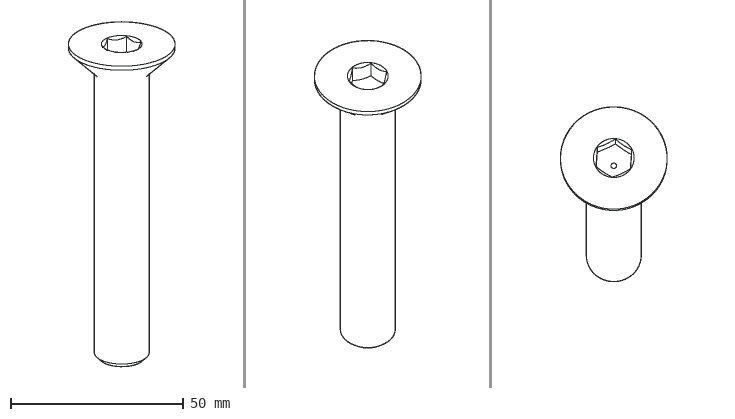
import cadquery as cq
import math

length = 100.0
head_radius = 31.0 / 2
shank_radius = 16.0 / 2

rim_height = 1.3
head_height = rim_height + head_radius - shank_radius
neck_z = length - head_height
neck_fillet = 0.8
tip_chamfer = 1.6

across_flats = 10.0
across_corners = across_flats / math.cos(math.pi / 6)
socket_depth = 5.0
mouth_radius = 5.9
mouth_bevel = mouth_radius - across_flats / 2
floor_tip_radius = 0.8
floor_angle = math.radians(30)
floor_drop = (across_corners / 2 - floor_tip_radius) * math.tan(floor_angle)


def make_body():
    """Revolve the head and shank with a rounded neck and a chamfered tip."""
    tangent = neck_fillet * math.tan(math.pi / 8)
    diagonal = tangent * math.sqrt(0.5)
    arc_center_x = shank_radius + neck_fillet
    arc_center_z = neck_z - tangent
    arc_mid = (
        arc_center_x - neck_fillet * math.cos(math.pi / 8),
        arc_center_z + neck_fillet * math.sin(math.pi / 8),
    )
    profile = (
        cq.Workplane("XZ")
        .lineTo(shank_radius - tip_chamfer, 0)
        .lineTo(shank_radius, tip_chamfer)
        .lineTo(shank_radius, arc_center_z)
        .threePointArc(arc_mid, (shank_radius + diagonal, neck_z + diagonal))
        .lineTo(head_radius, length - rim_height)
        .lineTo(head_radius, length)
        .lineTo(0, length)
        .close()
    )
    return profile.revolve(360, (0, 0, 0), (0, 1, 0))


def make_cone(bottom_radius, top_radius, height, top_z):
    """Upright truncated cone on the screw axis, ending at top_z."""
    base = cq.Vector(0, 0, top_z - height)
    return cq.Workplane(cq.Solid.makeCone(bottom_radius, top_radius, height, pnt=base))


def make_socket():
    """Hexagonal recess with a bevelled round mouth and a conical floor."""
    floor_z = length - socket_depth
    full_depth = socket_depth + floor_drop
    hexagon = (
        cq.Workplane("XY", origin=(0, 0, length - full_depth))
        .polygon(6, across_corners)
        .extrude(full_depth)
    )
    floor_cone = make_cone(floor_tip_radius, across_corners / 2, floor_drop, floor_z)
    round_bore = (
        cq.Workplane("XY", origin=(0, 0, floor_z))
        .circle(across_corners / 2)
        .extrude(socket_depth)
    )
    recess = hexagon.intersect(round_bore.union(floor_cone))
    mouth = make_cone(across_flats / 2, mouth_radius, mouth_bevel, length)
    return recess.union(mouth)


result = make_body().cut(make_socket())